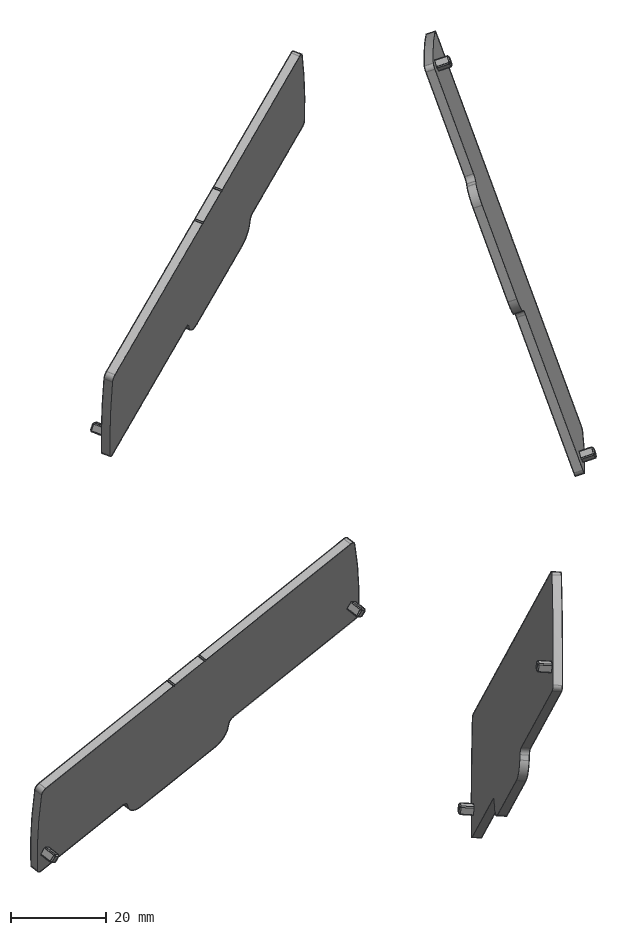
import cadquery as cq
import math

thickness = 2.0
length = 95.9
body_height = 26.9
side_radius = 143.8
widest_z = 6.7
top_corner_radius = 1.2
bottom_corner_radius = 1.1

tab_drop = 5.4
tab_width = 30.7
tab_center_y = 5.9
tab_side_draft = 12.0
tab_corner_radius = 4.0
tab_root_radius = 1.3

pin_length = 3.1
pin_spacing = 91.3
pin_z = 5.75
pin_side = 2.0
pin_edge_chamfer = 0.24
pin_tip_chamfer = 0.3

groove_spacing = 9.2
groove_center_y = 2.5
groove_width = 0.5
groove_depth = 0.3


def end_y(z):
    """Half length of the plate at height z, on the end arc."""
    rise = z - widest_z
    return length / 2 - side_radius + math.sqrt(side_radius**2 - rise**2)


def make_plate():
    mid_z = body_height / 2
    plate = (
        cq.Workplane("YZ")
        .moveTo(-end_y(0), 0)
        .lineTo(end_y(0), 0)
        .threePointArc((end_y(mid_z), mid_z), (end_y(body_height), body_height))
        .lineTo(-end_y(body_height), body_height)
        .threePointArc((-end_y(mid_z), mid_z), (-end_y(0), 0))
        .close()
        .extrude(thickness)
    )
    plate = plate.edges("|X and >Z").fillet(top_corner_radius)
    return plate.edges("|X and <Z").fillet(bottom_corner_radius)


def add_tab(plate):
    root_half = tab_width / 2
    tip_half = root_half - tab_drop * math.tan(math.radians(tab_side_draft))
    overlap = body_height / 2
    tab = (
        cq.Workplane("YZ")
        .center(tab_center_y, 0)
        .polyline([
            (-root_half, overlap),
            (-root_half, 0),
            (-tip_half, -tab_drop),
            (tip_half, -tab_drop),
            (root_half, 0),
            (root_half, overlap),
        ])
        .close()
        .extrude(thickness)
        .edges("|X and <Z")
        .fillet(tab_corner_radius)
    )
    joined = plate.union(tab)
    for side in (-1, 1):
        root = cq.selectors.NearestToPointSelector(
            (thickness / 2, tab_center_y + side * root_half, 0)
        )
        joined = joined.edges("|X").edges(root).fillet(tab_root_radius)
    return joined


def make_pin(y):
    turn_axis_end = (1, 0, 0)
    corner_up = 45
    return (
        cq.Workplane("YZ")
        .rect(pin_side, pin_side)
        .extrude(-pin_length)
        .edges("|X")
        .chamfer(pin_edge_chamfer)
        .faces("<X")
        .chamfer(pin_tip_chamfer)
        .rotate((0, 0, 0), turn_axis_end, corner_up)
        .translate((0, y, pin_z))
    )


def make_groove(y):
    return (
        cq.Workplane("YZ")
        .moveTo(y - groove_width / 2, body_height)
        .lineTo(y, body_height - groove_depth)
        .lineTo(y + groove_width / 2, body_height)
        .close()
        .extrude(thickness)
    )


result = add_tab(make_plate())
for side in (-1, 1):
    result = result.union(make_pin(side * pin_spacing / 2))
    result = result.cut(make_groove(groove_center_y + side * groove_spacing / 2))